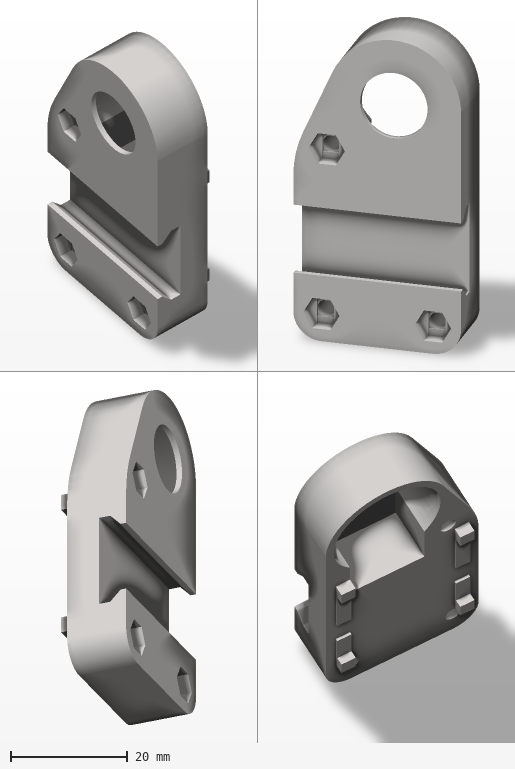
import cadquery as cq
import math

width = 30.0
height = 57.0
thickness = 11.0
overall_depth = 13.0
corner_radius = 5.0

head_radius = 12.0
head_x = width - head_radius
head_z = height - head_radius
shoulder_radius = 20.0
shoulder_z = 30.05

lip_hole_diameter = 12.0
bore_diameter = 21.0
lip_thickness = 1.0
pocket_floor_z = 29.0

groove_z = 18.35
groove_depth = 5.0
groove_lip = 1.0
groove_flank = 1.95
groove_opening = 12.55

screw_diameter = 3.0
nut_across_flats = 5.6
nut_depth = 2.35
step_depth = 0.3
lower_screw_inset = corner_radius
upper_screw_x = 6.0
upper_screw_z = 35.5

tab_width = 2.8
tab_height = 2.85
tab_inset = 1.95
upper_tab_z = 30.55
lower_tab_z = 7.2
rail_thickness = 0.5
upper_rail_end = 20.8
lower_rail_end = 15.75


def box(x, y, z, size_x, size_y, size_z):
    """Box placed by its lowest corner."""
    return cq.Workplane("XY").box(size_x, size_y, size_z, centered=False).translate((x, y, z))


def cylinder(x, z, diameter, start, end):
    """Cylinder along Y between two depths."""
    return (
        cq.Workplane("XZ", origin=(x, start, z))
        .circle(diameter / 2)
        .extrude(start - end)
    )


def circle_point(center, radius, angle):
    """Point at an angle (radians) up from the left-hand side of a circle."""
    return (center[0] - radius * math.cos(angle), center[1] + radius * math.sin(angle))


def make_plate():
    head = (head_x, head_z)
    shoulder = (shoulder_radius, shoulder_z)
    offset_x = shoulder_radius - head_x
    offset_z = head_z - shoulder_z
    flank_angle = (
        math.asin((shoulder_radius - head_radius) / math.hypot(offset_x, offset_z))
        - math.atan2(offset_x, offset_z)
    )
    corner_mid = corner_radius * (1 - math.sqrt(0.5))
    return (
        cq.Workplane("XZ")
        .moveTo(corner_radius, 0)
        .lineTo(width - corner_radius, 0)
        .threePointArc((width - corner_mid, corner_mid), (width, corner_radius))
        .lineTo(width, head_z)
        .threePointArc((head_x, height), circle_point(head, head_radius, flank_angle))
        .lineTo(*circle_point(shoulder, shoulder_radius, flank_angle))
        .threePointArc(circle_point(shoulder, shoulder_radius, flank_angle / 2), (0, shoulder_z))
        .lineTo(0, corner_radius)
        .threePointArc((corner_mid, corner_mid), (corner_radius, 0))
        .close()
        .extrude(-thickness)
    )


def make_bore():
    lip_hole = cylinder(head_x, head_z, lip_hole_diameter, 0, thickness)
    bore = cylinder(head_x, head_z, bore_diameter, lip_thickness, thickness)
    half_pocket = width - tab_inset - tab_width - head_x
    pocket = box(
        head_x - half_pocket, lip_thickness, pocket_floor_z,
        2 * half_pocket, thickness - lip_thickness, head_z - pocket_floor_z,
    )
    return lip_hole.union(bore).union(pocket)


def make_groove():
    half_opening = groove_opening / 2
    half_floor = half_opening + groove_flank
    flank_end = groove_lip + groove_flank
    upper_side = [
        (0, half_opening),
        (groove_lip, half_opening),
        (flank_end, half_floor),
        (groove_depth, half_floor),
    ]
    lower_side = [(y, -z) for y, z in reversed(upper_side)]
    return (
        cq.Workplane("YZ", origin=(0, 0, groove_z))
        .polyline(upper_side + lower_side)
        .close()
        .extrude(width)
    )


def make_screw_hole(x, z):
    """Hex nut pocket, then a slot, then a square, then the round hole."""
    nut = (
        cq.Workplane("XZ", origin=(x, 0, z))
        .polygon(6, nut_across_flats / math.cos(math.pi / 6))
        .extrude(-nut_depth)
    )
    half_hole = screw_diameter / 2
    slot = box(
        x - half_hole, nut_depth, z - nut_across_flats / 2,
        screw_diameter, step_depth, nut_across_flats,
    )
    square = box(
        x - half_hole, nut_depth + step_depth, z - half_hole,
        screw_diameter, step_depth, screw_diameter,
    )
    return nut.union(slot).union(square).union(cylinder(x, z, screw_diameter, 0, thickness))


def make_tabs(x):
    """One column of two tabs, each with a thin rail running towards the other."""
    tab_depth = overall_depth - thickness
    upper_tab = box(x, thickness, upper_tab_z, tab_width, tab_depth, tab_height)
    lower_tab = box(x, thickness, lower_tab_z, tab_width, tab_depth, tab_height)
    upper_rail = box(
        x, thickness, upper_rail_end, tab_width, rail_thickness, upper_tab_z - upper_rail_end
    )
    lower_rail_start = lower_tab_z + tab_height
    lower_rail = box(
        x, thickness, lower_rail_start, tab_width, rail_thickness, lower_rail_end - lower_rail_start
    )
    return upper_tab.union(upper_rail).union(lower_tab).union(lower_rail)


screw_positions = [
    (lower_screw_inset, lower_screw_inset),
    (width - lower_screw_inset, lower_screw_inset),
    (upper_screw_x, upper_screw_z),
]

result = make_plate()
for tab_x in (tab_inset, width - tab_inset - tab_width):
    result = result.union(make_tabs(tab_x))
result = result.cut(make_bore()).cut(make_groove())
for screw_x, screw_z in screw_positions:
    result = result.cut(make_screw_hole(screw_x, screw_z))